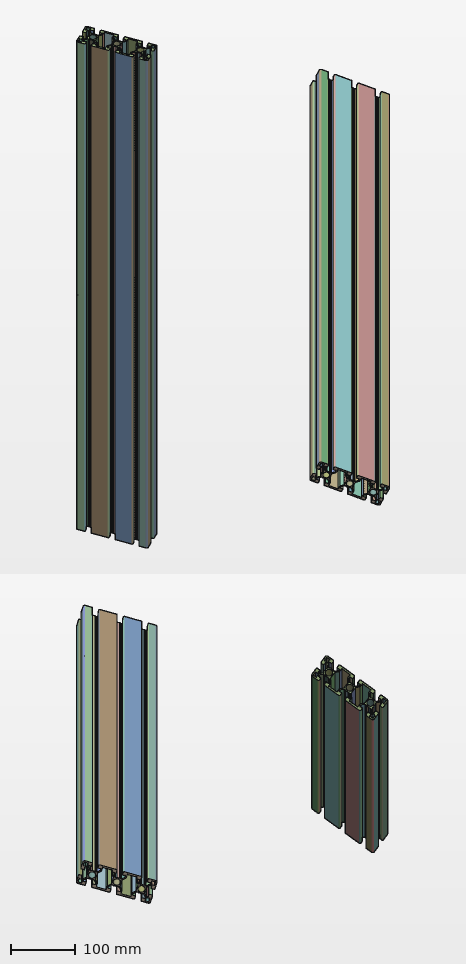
import cadquery as cq
import math

length = 1000.0
module = 40.0
module_count = 3
width = module * module_count
half_width = width / 2
half_module = module / 2
corner_radius = 3.0

slot_opening = 10.0
mouth_radius = 1.5
lip_thickness = 6.0
channel_width = 20.0
channel_floor_width = 11.0
half_channel = channel_width / 2
half_floor = channel_floor_width / 2

ridge_spacing = 4.0
ridge_height = 0.8
groove_depth = 0.4

core_size = 14.0
half_core = core_size / 2
bore_diameter = 11.0

web_thickness = 2.0
outer_wall = 3.0
corner_wall = 2.5
corner_hollow_size = 6.0

core_centres = [module * (i - (module_count - 1) / 2) for i in range(module_count)]
cavity_centres = [(a + b) / 2 for a, b in zip(core_centres, core_centres[1:])]


def slot(centre_x, angle):
    """Cutter for one T-slot, opening toward +Y before it is turned by angle about its core."""
    half_opening = slot_opening / 2
    half_mouth = half_opening + mouth_radius
    round_y = half_module - mouth_radius
    round_offset = mouth_radius * (1 - math.sqrt(0.5))
    round_mid_x = half_opening + round_offset
    round_mid_y = half_module - round_offset
    lip_y = half_module - lip_thickness
    flank_y = half_core + half_channel - half_floor
    ridge_x = ridge_spacing / 2
    ridge_foot_x = ridge_spacing
    ridge_y = half_core + ridge_height
    right_side = [
        (half_opening, lip_y),
        (half_channel, lip_y),
        (half_channel, flank_y),
        (half_floor, half_core),
        (ridge_foot_x, half_core),
        (ridge_x, ridge_y),
    ]
    left_side = [(-x, y) for x, y in reversed(right_side)]
    outline = (
        cq.Workplane("XY")
        .moveTo(-half_mouth, half_module)
        .lineTo(half_mouth, half_module)
        .threePointArc((round_mid_x, round_mid_y), (half_opening, round_y))
        .polyline(right_side, includeCurrent=True)
        .threePointArc((0, ridge_y - groove_depth), left_side[0])
        .polyline(left_side[1:], includeCurrent=True)
        .lineTo(-half_opening, round_y)
        .threePointArc((-round_mid_x, round_mid_y), (-half_mouth, half_module))
        .close()
    )
    cutter = outline.extrude(length)
    return cutter.rotate((0, 0, 0), (0, 0, 1), angle).translate((centre_x, 0, 0))


def cavity(centre_x):
    """Cutter for the large hollow between two cores, bounded by the 45 degree webs."""
    half_span = half_module - half_core
    half_neck = half_module - half_channel - web_thickness
    shoulder_y = 2 * half_core - half_floor - web_thickness * math.sqrt(2)
    neck_y = shoulder_y + half_span - half_neck
    top_y = half_module - outer_wall
    upper_right = [(half_span, shoulder_y), (half_neck, neck_y), (half_neck, top_y)]
    upper_left = [(-x, y) for x, y in reversed(upper_right)]
    upper = upper_right + upper_left
    lower = [(-x, -y) for x, y in upper]
    outline = cq.Workplane("XY").polyline(upper + lower).close()
    return outline.extrude(length).translate((centre_x, 0, 0))


def corner_hollow(side_x, side_y):
    """Cutter for the square hollow inside one outer corner."""
    inset = corner_wall + corner_hollow_size / 2
    outline = cq.Workplane("XY").center(side_x * (half_width - inset), side_y * (half_module - inset))
    return outline.rect(corner_hollow_size, corner_hollow_size).extrude(length)


bar = cq.Workplane("XY").rect(width, module).extrude(length)
bar = bar.edges("|Z").fillet(corner_radius)

for x in core_centres:
    bar = bar.cut(slot(x, 0))
    bar = bar.cut(slot(x, 180))
bar = bar.cut(slot(core_centres[0], 90))
bar = bar.cut(slot(core_centres[-1], -90))

for x in cavity_centres:
    bar = bar.cut(cavity(x))
for side_x in (-1, 1):
    for side_y in (-1, 1):
        bar = bar.cut(corner_hollow(side_x, side_y))

bores = cq.Workplane("XY").pushPoints([(x, 0) for x in core_centres])
bar = bar.cut(bores.circle(bore_diameter / 2).extrude(length))

result = bar